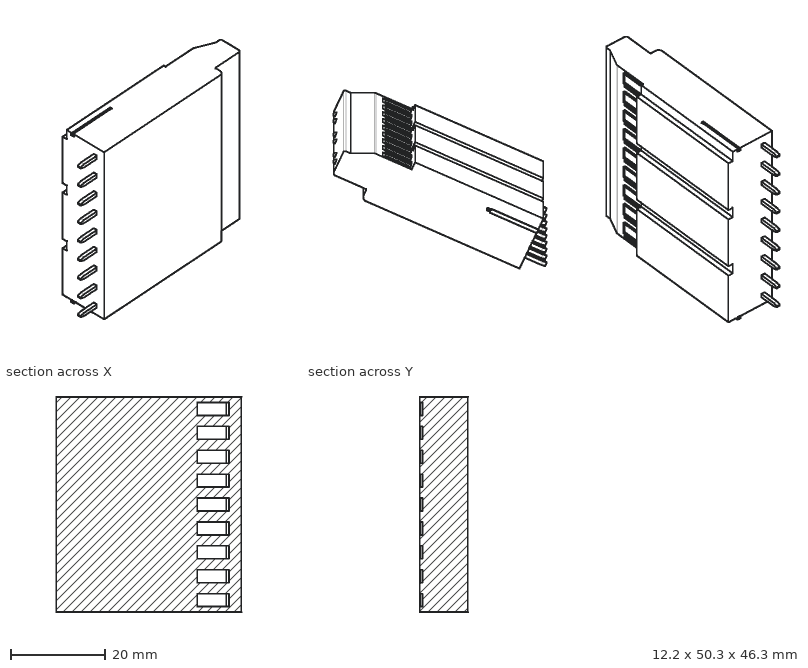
import cadquery as cq


PITCH = 5.08
POLE_COUNT = 9
POLES_PER_MODULE = 3
MODULE_COUNT = POLE_COUNT // POLES_PER_MODULE
MODULE_HEIGHT = POLES_PER_MODULE * PITCH
HEIGHT = POLE_COUNT * PITCH

WIDTH = 12.2
LENGTH = 44.8
KEY_LENGTH = 30.0
PANEL_X = 1.75
NECK_LEFT_X = 3.9
NECK_RIGHT_X = 9.75
SHOULDER_Y = 36.9
BEVEL_START_Y = 38.55
BEVEL_END_Y = 43.3
SHOULDER_RADIUS = 1.0
BACK_LEFT_RADIUS = 0.35
BACK_RIGHT_RADIUS = 0.6
BEVEL_RADIUS = 0.7

NOTCH_DEPTH = 1.22
NOTCH_HEIGHT = PITCH / 2

POCKET_END_Y = 36.1
POCKET_HEIGHT = 3.8
POCKET_RIM_DEPTH = 0.15
POCKET_FLOOR_HEIGHT = 2.7
POCKET_FLOOR_DEPTH = 0.6
POCKET_UNDERCUT = 0.6

DOVETAIL_X = 2.95
DOVETAIL_NECK_WIDTH = 0.45
DOVETAIL_FOOT_WIDTH = 0.9
DOVETAIL_LIP = 0.2
RIB_HEIGHT = 0.6
RIB_LENGTH = 11.85
RIB_LEAD_LENGTH = 0.9
GROOVE_DEPTH = 0.7
GROOVE_LENGTH = 11.95

PIN_X = 9.65
PIN_SIZE = 0.9
PIN_LENGTH = 5.0
PIN_TAPER_LENGTH = 1.0
PIN_TIP_HEIGHT = 0.3

BUMP_X = 8.3
BUMP_RADIUS = 0.55
BUMP_HEIGHT = 0.5


def box_between(x_range, y_range, z_range):
    """Axis-aligned box from its (start, end) ranges."""
    size = [end - start for start, end in (x_range, y_range, z_range)]
    corner = (x_range[0], y_range[0], z_range[0])
    return cq.Workplane("XY").box(*size, centered=False).translate(corner)


def make_housing():
    """Extruded housing with its rounded vertical edges."""
    outline = [
        (0, 0),
        (WIDTH, 0),
        (WIDTH, SHOULDER_Y),
        (NECK_RIGHT_X, SHOULDER_Y),
        (NECK_RIGHT_X, LENGTH),
        (NECK_LEFT_X, LENGTH),
        (NECK_LEFT_X, BEVEL_END_Y),
        (PANEL_X, BEVEL_START_Y),
        (PANEL_X, KEY_LENGTH),
        (0, KEY_LENGTH),
    ]
    rounded_corners = [
        (WIDTH, SHOULDER_Y, SHOULDER_RADIUS),
        (NECK_RIGHT_X, LENGTH, BACK_RIGHT_RADIUS),
        (NECK_LEFT_X, LENGTH, BACK_LEFT_RADIUS),
        (PANEL_X, BEVEL_START_Y, BEVEL_RADIUS),
    ]
    housing = cq.Workplane("XY").polyline(outline).close().extrude(HEIGHT)
    for x, y, radius in rounded_corners:
        corner_edge = cq.selectors.NearestToPointSelector((x, y, HEIGHT / 2))
        housing = housing.edges("|Z").edges(corner_edge).fillet(radius)
    return housing


def cut_key_notches(body):
    """Notch the upper end of every module's key pad."""
    for module in range(1, MODULE_COUNT + 1):
        top = module * MODULE_HEIGHT
        notch = box_between((0, NOTCH_DEPTH), (0, KEY_LENGTH), (top - NOTCH_HEIGHT, top))
        body = body.cut(notch)
    return body


def cut_pockets(body):
    """Cut one stepped, undercut pocket per pole into the side panel."""
    rim_x = PANEL_X + POCKET_RIM_DEPTH
    floor_x = PANEL_X + POCKET_FLOOR_DEPTH
    undercut_end_y = POCKET_END_Y + POCKET_UNDERCUT
    for pole in range(POLE_COUNT):
        center_z = (pole + 0.5) * PITCH
        rim_z = (center_z - POCKET_HEIGHT / 2, center_z + POCKET_HEIGHT / 2)
        floor_z = (center_z - POCKET_FLOOR_HEIGHT / 2, center_z + POCKET_FLOOR_HEIGHT / 2)
        body = body.cut(box_between((PANEL_X, rim_x), (KEY_LENGTH, POCKET_END_Y), rim_z))
        body = body.cut(box_between((rim_x, floor_x), (KEY_LENGTH, undercut_end_y), floor_z))
    return body


def dovetail(mouth_z, depth, y_start, y_end):
    """Dovetail prism that widens downwards from mouth_z."""
    neck = DOVETAIL_NECK_WIDTH / 2
    foot = DOVETAIL_FOOT_WIDTH / 2
    section = [
        (DOVETAIL_X - neck, mouth_z),
        (DOVETAIL_X - foot, mouth_z - depth + DOVETAIL_LIP),
        (DOVETAIL_X - foot, mouth_z - depth),
        (DOVETAIL_X + foot, mouth_z - depth),
        (DOVETAIL_X + foot, mouth_z - depth + DOVETAIL_LIP),
        (DOVETAIL_X + neck, mouth_z),
    ]
    plane = cq.Workplane("XZ", origin=(0, y_start, 0))
    return plane.polyline(section).close().extrude(y_start - y_end)


def make_rib():
    """Dovetail rib with a straight lead at its inner end."""
    neck = DOVETAIL_NECK_WIDTH / 2
    lead = box_between(
        (DOVETAIL_X - neck, DOVETAIL_X + neck),
        (0, RIB_LENGTH),
        (-RIB_HEIGHT, 0),
    )
    return dovetail(0, RIB_HEIGHT, 0, RIB_LENGTH - RIB_LEAD_LENGTH).union(lead)


def make_pin(center_z):
    """Square pin whose tip tapers in height only."""
    half = PIN_SIZE / 2
    half_tip = PIN_TIP_HEIGHT / 2
    taper_y = PIN_TAPER_LENGTH - PIN_LENGTH
    side_profile = [
        (0, center_z - half),
        (taper_y, center_z - half),
        (-PIN_LENGTH, center_z - half_tip),
        (-PIN_LENGTH, center_z + half_tip),
        (taper_y, center_z + half),
        (0, center_z + half),
    ]
    plane = cq.Workplane("YZ", origin=(PIN_X - half, 0, 0))
    return plane.polyline(side_profile).close().extrude(PIN_SIZE)


def make_bump(center_z):
    """Spherical cap standing on the back face."""
    sphere_radius = (BUMP_RADIUS**2 + BUMP_HEIGHT**2) / (2 * BUMP_HEIGHT)
    center_y = LENGTH + BUMP_HEIGHT - sphere_radius
    return cq.Workplane("XY").sphere(sphere_radius).translate((BUMP_X, center_y, center_z))


result = cut_pockets(cut_key_notches(make_housing()))
result = result.cut(dovetail(HEIGHT, GROOVE_DEPTH, 0, GROOVE_LENGTH))
result = result.union(make_rib())

for pole in range(POLE_COUNT):
    result = result.union(make_pin((pole + 0.5) * PITCH))

for boundary in range(1, POLE_COUNT):
    if boundary % POLES_PER_MODULE:
        result = result.union(make_bump(boundary * PITCH))